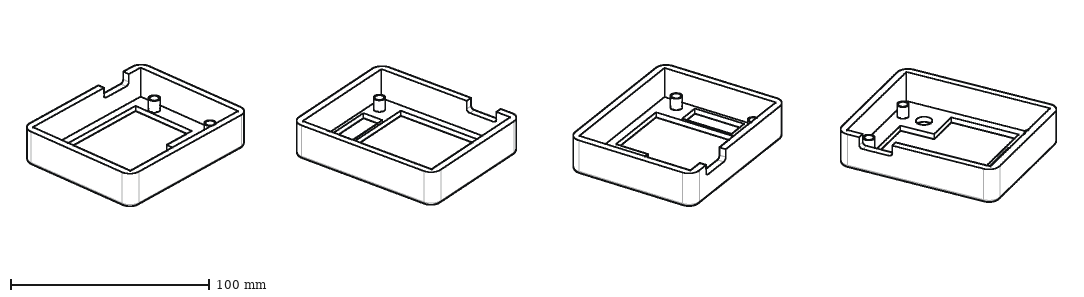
import cadquery as cq

case_width = 73.7
case_length = 89.25
case_height = 19.9
side_wall = 3.8
end_wall = 4.0
floor_thickness = 3.0
corner_radius = 6.1
bottom_edge_radius = 2.05

opening_size = 57.1
opening_center = (-0.1, 3.4)
kept_corner_size = opening_size / 3

window_width = 29.3
window_length = 12.0
window_center = (-0.8, -32.75)

round_hole_diameter = 8.2
round_hole_center = (19.2, 23.6)

post_outer_diameter = 6.0
post_bore_diameter = 4.7
post_height = 6.7
rear_post_y = 35.3
front_post_y = -34.7
post_centers = [
    (-19.0, rear_post_y),
    (18.8, rear_post_y),
    (-23.5, front_post_y),
    (22.4, front_post_y),
]

notch_length = 18.65
notch_depth = 6.3
notch_center_y = 22.4
notch_corner_radius = 1.9


def make_tray():
    """Rounded block, open at the top, with a sharp-cornered cavity."""
    block = (
        cq.Workplane("XY")
        .rect(case_width, case_length)
        .extrude(case_height)
        .edges("|Z")
        .fillet(corner_radius)
        .faces("<Z")
        .edges()
        .fillet(bottom_edge_radius)
    )
    cavity = (
        cq.Workplane("XY", origin=(0, 0, floor_thickness))
        .rect(case_width - 2 * side_wall, case_length - 2 * end_wall)
        .extrude(case_height - floor_thickness)
    )
    return block.cut(cavity)


def make_floor_openings():
    """Cutters through the floor: L-shaped opening, window and round hole."""
    center_x, center_y = opening_center
    opening = (
        cq.Workplane("XY")
        .center(center_x, center_y)
        .rect(opening_size, opening_size)
        .extrude(floor_thickness)
    )
    corner_offset = (opening_size - kept_corner_size) / 2
    kept_corner = (
        cq.Workplane("XY")
        .center(center_x + corner_offset, center_y + corner_offset)
        .rect(kept_corner_size, kept_corner_size)
        .extrude(floor_thickness)
    )
    window = (
        cq.Workplane("XY")
        .center(*window_center)
        .rect(window_width, window_length)
        .extrude(floor_thickness)
    )
    round_hole = (
        cq.Workplane("XY")
        .center(*round_hole_center)
        .circle(round_hole_diameter / 2)
        .extrude(floor_thickness)
    )
    return opening.cut(kept_corner).union(window).union(round_hole)


def make_posts():
    """Tubes on the floor, bored down to the floor surface."""
    return (
        cq.Workplane("XY", origin=(0, 0, floor_thickness))
        .pushPoints(post_centers)
        .circle(post_outer_diameter / 2)
        .circle(post_bore_diameter / 2)
        .extrude(post_height)
    )


def make_notch():
    """Cutter through the -X wall with rounded lower corners."""
    notch_center = (
        (side_wall - case_width) / 2,
        notch_center_y,
        case_height - notch_depth / 2,
    )
    return (
        cq.Workplane("XY")
        .box(side_wall, notch_length, notch_depth)
        .edges("|X and <Z")
        .fillet(notch_corner_radius)
        .translate(notch_center)
    )


result = make_tray().cut(make_floor_openings()).cut(make_notch()).union(make_posts())